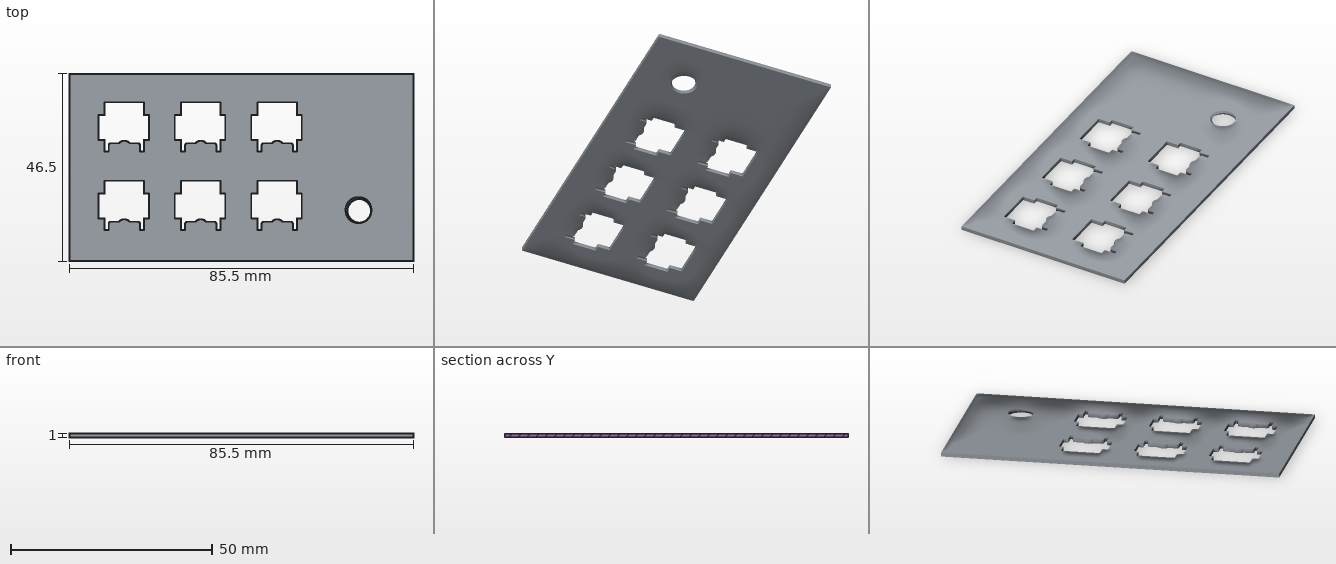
import cadquery as cq

plate_length = 85.5
plate_width = 46.5
plate_thickness = 1.0

column_count = 3
row_count = 2
column_pitch = 19.0
row_pitch = 19.5
first_column_x = -29.1
first_row_y = -9.6

body_half_width = 4.9
ear_half_width = 6.2
ear_half_height = 3.1
ear_shift = -0.2
cutout_top = 6.2
cutout_bottom = -5.9

tongue_half_width = 3.9
tongue_top = -3.85
tongue_corner_radius = 0.7
bump_half_width = 1.3
bump_height = 0.6

hole_x = 29.1
hole_y = -10.6
hole_mouth_diameter = 6.5
hole_waist_diameter = 5.8
waist_shift = 0.2


def block(half_width, bottom, top):
    """Box symmetric in X, between two Y levels, through the plate thickness."""
    return (
        cq.Workplane("XY")
        .box(2 * half_width, top - bottom, plate_thickness)
        .translate((0, (top + bottom) / 2, 0))
    )


def make_tongue():
    base = block(tongue_half_width, cutout_bottom, tongue_top)
    base = base.edges("|Z and >Y").fillet(tongue_corner_radius)
    bump = (
        cq.Workplane("XY")
        .moveTo(-bump_half_width, tongue_top)
        .threePointArc((0, tongue_top + bump_height), (bump_half_width, tongue_top))
        .close()
        .extrude(plate_thickness / 2, both=True)
    )
    return base.union(bump)


def make_switch_cutter():
    body = block(body_half_width, cutout_bottom, cutout_top)
    ears = block(ear_half_width, -ear_half_height, ear_half_height)
    ears = ears.translate((ear_shift, 0, 0))
    return body.union(ears).cut(make_tongue())


def make_hole_cutter():
    half_thickness = plate_thickness / 2
    upper_half = (
        cq.Workplane("XY", origin=(hole_x, hole_y, 0))
        .center(waist_shift, -waist_shift)
        .circle(hole_waist_diameter / 2)
        .workplane(offset=half_thickness)
        .center(-waist_shift, waist_shift)
        .circle(hole_mouth_diameter / 2)
        .loft(ruled=True)
    )
    return upper_half.union(upper_half.mirror("XY"))


result = cq.Workplane("XY").box(plate_length, plate_width, plate_thickness)

switch_cutter = make_switch_cutter()
for column in range(column_count):
    for row in range(row_count):
        cutout_x = first_column_x + column * column_pitch
        cutout_y = first_row_y + row * row_pitch
        result = result.cut(switch_cutter.translate((cutout_x, cutout_y, 0)))

result = result.cut(make_hole_cutter())